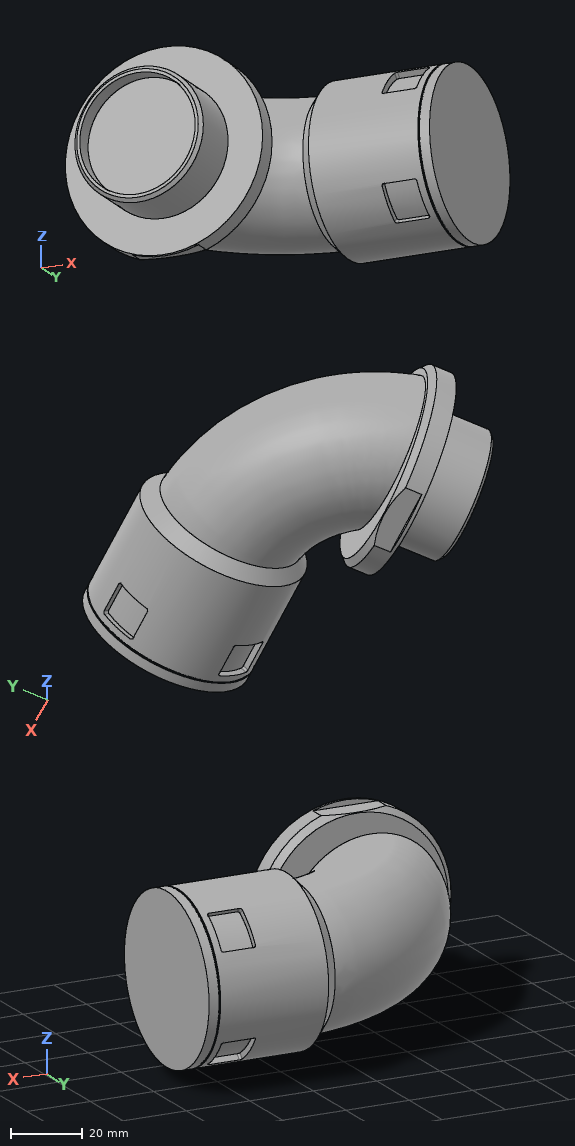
import cadquery as cq

flange_diameter = 61.5
flange_thickness = 8.0
flange_chamfer = 1.9
lip_thickness = 1.1
across_flats = 58.0

spigot_diameter = 40.0
spigot_length = 17.0
spigot_chamfer = 1.1
recess_diameter = 36.0
recess_depth = 5.4

flange_radius = flange_diameter / 2
overall_length = 107.0
overall_depth = 82.5
socket_diameter = 52.0
socket_radius = socket_diameter / 2
socket_end = overall_length - flange_radius
socket_start = 33.9
cone_size = 4.6
socket_axis_y = overall_depth - spigot_length - socket_radius

groove_width = 0.4
groove_depth = 0.4
end_band = 3.2

window_count = 4
window_length = 10.8
window_width = 12.6
window_corner = 0.6
window_floor_diameter = 48.2
window_center_x = 65.0

tube_diameter = 44.1
bend_radius = 48.0
bend_center_x = 40.7
bend_center_y = socket_axis_y - bend_radius


def cylinder_y(diameter, start, length):
    """Cylinder around the Y axis, growing toward +Y from start."""
    plane = cq.Workplane("XZ", origin=(0, start, 0))
    return plane.circle(diameter / 2).extrude(-length)


def cylinder_x(diameter, start, length):
    """Cylinder around the socket axis, growing toward +X from start."""
    plane = cq.Workplane("YZ", origin=(start, socket_axis_y, 0))
    return plane.circle(diameter / 2).extrude(length)


def make_flange():
    flange = cylinder_y(flange_diameter, 0, flange_thickness).faces(">Y").chamfer(flange_chamfer)
    flats = cq.Workplane("XY").box(flange_diameter, flange_thickness - lip_thickness, across_flats)
    flats = flats.translate((0, (flange_thickness + lip_thickness) / 2, 0))
    lip = cylinder_y(flange_diameter, 0, lip_thickness)
    return flange.intersect(flats).union(lip)


def make_spigot():
    spigot = cylinder_y(spigot_diameter, -spigot_length, spigot_length)
    spigot = spigot.faces("<Y").chamfer(spigot_chamfer)
    return spigot.cut(cylinder_y(recess_diameter, -spigot_length, recess_depth))


def make_elbow():
    bend = (
        cq.Workplane("YZ", origin=(bend_center_x, socket_axis_y, 0))
        .circle(tube_diameter / 2)
        .revolve(90, (-bend_radius, 0, 0), (-bend_radius, 1, 0))
    )
    trim_start = flange_thickness / 2
    keep = cq.Workplane("XY").box(2 * overall_length, overall_depth, flange_diameter)
    return bend.intersect(keep.translate((0, trim_start + overall_depth / 2, 0)))


def make_socket():
    socket = cylinder_x(socket_diameter, socket_start, socket_end - socket_start)
    socket = socket.faces("<X").chamfer(cone_size)
    groove_start = socket_end - end_band - groove_width
    groove = cylinder_x(socket_diameter, groove_start, groove_width)
    groove = groove.cut(cylinder_x(socket_diameter - 2 * groove_depth, groove_start, groove_width))
    return socket.cut(groove)


def make_windows():
    """Rounded radial pockets at the diagonals, with a cylindrical floor."""
    pocket = (
        cq.Workplane("XY", origin=(window_center_x, socket_axis_y, 0))
        .rect(window_length, window_width)
        .extrude(socket_diameter)
        .edges("|Z")
        .fillet(window_corner)
    )
    core = cylinder_x(window_floor_diameter, socket_start, socket_end - socket_start)
    pocket = pocket.cut(core)
    axis_start = (0, socket_axis_y, 0)
    axis_end = (1, socket_axis_y, 0)
    step = 360 / window_count
    windows = pocket.rotate(axis_start, axis_end, step / 2)
    for index in range(1, window_count):
        windows = windows.union(pocket.rotate(axis_start, axis_end, (index + 0.5) * step))
    return windows


body = make_flange().union(make_spigot()).union(make_elbow()).union(make_socket())
result = body.cut(make_windows())